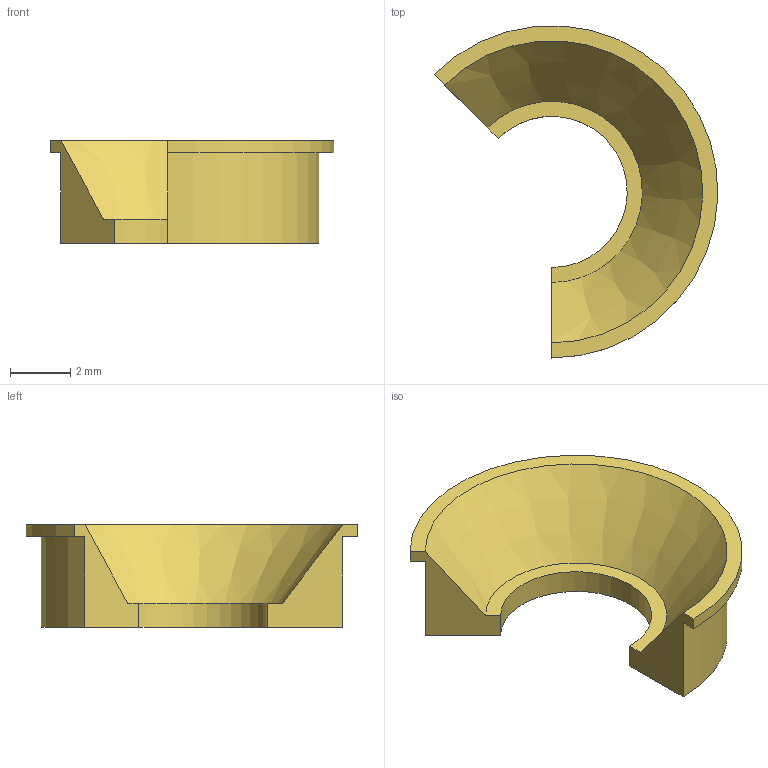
import cadquery as cq

bore_radius = 2.5
ledge_radius = 3.0
body_radius = 5.0
seat_top_radius = 5.0
flange_radius = 5.5

total_height = 3.4
flange_thickness = 0.4
bore_height = 0.8
flange_bottom = total_height - flange_thickness

start_angle = -90.0
sweep_angle = 225.0


def ring_section():
    """Half section of the flanged ring, drawn as radius against height."""
    return (
        cq.Workplane("XZ")
        .moveTo(bore_radius, 0)
        .lineTo(body_radius, 0)
        .lineTo(body_radius, flange_bottom)
        .lineTo(flange_radius, flange_bottom)
        .lineTo(flange_radius, total_height)
        .lineTo(seat_top_radius, total_height)
        .lineTo(ledge_radius, bore_height)
        .lineTo(bore_radius, bore_height)
        .close()
    )


def open_ring():
    """Sweep the section about Z, then turn it to its start angle."""
    ring = ring_section().revolve(sweep_angle, (0, 0, 0), (0, 1, 0))
    return ring.rotate((0, 0, 0), (0, 0, 1), start_angle)


result = open_ring()